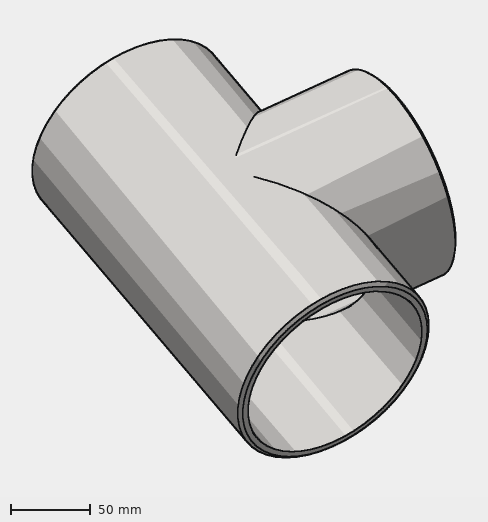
import cadquery as cq

run_length = 248.0
outer_diameter = 141.3
wall = 6.5
branch_reach = run_length / 2
bevel_depth = 2.0
bevel_height = 2.5

outer_radius = outer_diameter / 2
bore_radius = outer_radius - wall
end_radius = outer_radius - bevel_height


def beveled_profile(length):
    """Points of a beveled pipe end, as (radius, y), ending on the pipe axis."""
    return [
        (outer_radius, length - bevel_depth),
        (end_radius, length),
        (0, length),
    ]


branch = (
    cq.Workplane("XY")
    .polyline([(0, 0), (outer_radius, 0)] + beveled_profile(branch_reach))
    .close()
    .revolve(360, (0, 0, 0), (0, 1, 0))
)

run_end = beveled_profile(run_length / 2)
opposite_end = [(radius, -y) for radius, y in reversed(run_end)]
run = (
    cq.Workplane("XY")
    .polyline(opposite_end + run_end)
    .close()
    .revolve(360, (0, 0, 0), (0, 1, 0))
    .rotate((0, 0, 0), (0, 0, 1), 90)
)
body = run.union(branch)

run_bore = cq.Workplane("YZ").circle(bore_radius).extrude(run_length / 2, both=True)
branch_bore = cq.Workplane("XZ").circle(bore_radius).extrude(-branch_reach)

result = body.cut(run_bore).cut(branch_bore)